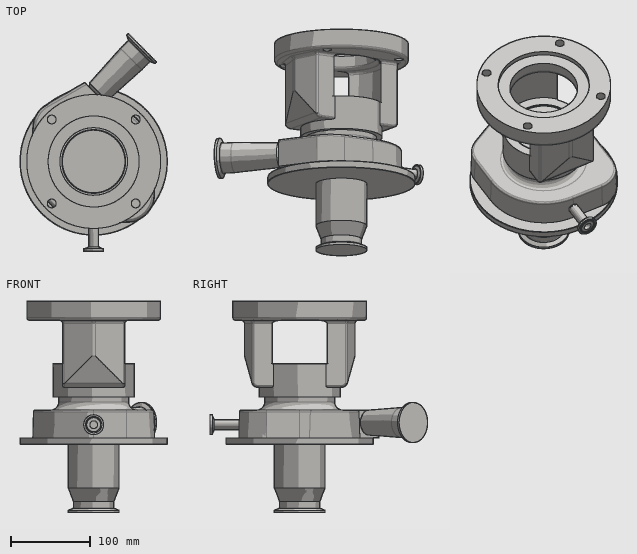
import math

import cadquery as cq

inlet_neck_top = 13.8
inlet_reducer_top = 31.1
plate_bottom = 85.3
plate_top = 93.9
casing_top = 128.7
neck_top = 144.9
leg_bottom = 157.0
collar_top = 186.8
leg_slope_top = 196.3
flange_bottom = 241.0
flange_top = 265.1

inlet_ferrule_radius = 32.0
pipe_rim_thickness = 3.0
pipe_ferrule_length = 6.2
ferrule_fillet = 0.8
inlet_neck_radius = 25.4
inlet_pipe_radius = 32.0
plate_radius = 92.5
plate_chamfer = 0.5

casing_radius = 76.4
casing_corner_radius = 35.0
casing_draft = 1.5
casing_edge_fillet = 2.5
casing_side_angle = 30.0

outlet_angle = 45.0
outlet_offset = 57.6
outlet_height = 113.0
outlet_face = 62.0
outlet_cylinder_start = 124.0
outlet_end = 144.0
outlet_base_radius = 15.8
outlet_pipe_radius = 19.05
outlet_ferrule_radius = 25.25
outlet_base_chamfer = 3.7

drain_height = 110.3
drain_end = 112.7
drain_pipe_radius = 6.35
drain_bore_radius = 4.85
drain_ferrule_radius = 12.5
drain_rim_thickness = 3.6
drain_cone_length = 2.4
drain_cone_radius = 11.0
drain_groove_inner_radius = 8.8
drain_groove_outer_radius = 10.2
drain_groove_depth = 0.8

neck_radius = 44.0
neck_fillet = 10.0
collar_radius = 51.0
collar_recess_radius = 39.2
collar_recess_chamfer = 0.8
collar_recess_depth = 2.0

leg_half_width = 39.0
leg_inner_radius = 52.0
leg_ridge_half_width = 2.2
leg_ridge_reach = 69.3
leg_slope_angle = 15.5
leg_edge_fillet = 2.5
leg_toe_fillet = 8.0
leg_root_fillet = 4.0

flange_radius = 84.0
flange_edge_fillet = 3.5
flange_bore_radius = 42.4
flange_bore_fillet = 4.5
flange_spigot_radius = 57.1
flange_spigot_depth = 6.0
bolt_spacing = 105.2
bolt_hole_diameter = 11.0


def quarter_fillet_inset(radius):
    """Distance from the middle of a quarter-round fillet to each of the two walls it joins."""
    return radius * (1 - math.sqrt(0.5))


def make_inlet():
    """Inlet pipe with a clamp ferrule, together with the back plate."""
    fillet_inset = quarter_fillet_inset(ferrule_fillet)
    pipe = (
        cq.Workplane("XZ")
        .moveTo(0, 0)
        .lineTo(inlet_ferrule_radius, 0)
        .lineTo(inlet_ferrule_radius, pipe_rim_thickness)
        .lineTo(inlet_neck_radius + ferrule_fillet, pipe_ferrule_length - ferrule_fillet)
        .threePointArc(
            (inlet_neck_radius + fillet_inset, pipe_ferrule_length - ferrule_fillet + fillet_inset),
            (inlet_neck_radius, pipe_ferrule_length),
        )
        .lineTo(inlet_neck_radius, inlet_neck_top)
        .lineTo(inlet_pipe_radius, inlet_reducer_top)
        .lineTo(inlet_pipe_radius, plate_bottom)
        .lineTo(0, plate_bottom)
        .close()
        .revolve(360, (0, 0, 0), (0, 1, 0))
    )
    plate = (
        cq.Workplane("XY", origin=(0, 0, plate_bottom))
        .circle(plate_radius)
        .extrude(plate_top - plate_bottom)
        .faces("<Z or >Z")
        .edges()
        .chamfer(plate_chamfer)
    )
    return pipe.union(plate)


def polar(radius, angle, center=(0, 0)):
    """Point at a radius and an angle in degrees around a center."""
    turn = math.radians(angle)
    return (center[0] + radius * math.cos(turn), center[1] + radius * math.sin(turn))


def extrude_casing(outline):
    """Casing block with drafted walls and a rounded top edge."""
    block = outline.extrude(casing_top - plate_top, taper=casing_draft)
    return block.faces(">Z").edges().fillet(casing_edge_fillet)


def make_casing():
    """Drafted volute: a circle with two squared corners, one running out to the outlet face."""
    corner = casing_radius - casing_corner_radius
    outlet_corner = (-corner, corner)
    plain_corner = (corner, -corner)

    blank_face = outlet_face + 2 * casing_edge_fillet
    side_start_angle = casing_side_angle + 90
    side_start = polar(casing_corner_radius, side_start_angle, outlet_corner)
    side_start_along = (side_start[0] + side_start[1]) * math.sqrt(0.5)
    side_length = (blank_face - side_start_along) / math.cos(math.radians(outlet_angle - casing_side_angle))
    tip = polar(side_length, casing_side_angle, side_start)

    face_end_angle = outlet_angle + math.degrees(math.acos(blank_face / casing_radius))
    face_end = polar(casing_radius, face_end_angle)

    outline = (
        cq.Workplane("XY", origin=(0, 0, plate_top))
        .moveTo(0, -casing_radius)
        .threePointArc(polar(casing_radius, 225), (-casing_radius, 0))
        .lineTo(-casing_radius, corner)
        .threePointArc(polar(casing_corner_radius, (180 + side_start_angle) / 2, outlet_corner), side_start)
        .lineTo(*tip)
        .lineTo(*face_end)
        .threePointArc(polar(casing_radius, face_end_angle / 2), (casing_radius, 0))
        .lineTo(casing_radius, -corner)
        .threePointArc(polar(casing_corner_radius, -45, plain_corner), (corner, -casing_radius))
        .close()
    )
    circle = cq.Workplane("XY", origin=(0, 0, plate_top)).circle(casing_radius)

    beyond_face = (
        cq.Workplane("XY", origin=(0, 0, plate_top))
        .rect(casing_radius, 4 * casing_radius)
        .extrude(casing_top - plate_top)
        .translate((outlet_face + casing_radius / 2, 0, 0))
        .rotate((0, 0, 0), (0, 0, 1), outlet_angle)
    )
    return extrude_casing(outline).cut(beyond_face).union(extrude_casing(circle))


def make_outlet():
    """Tapered discharge nozzle with a clamp ferrule."""
    ferrule_start = outlet_end - pipe_ferrule_length
    rim_start = outlet_end - pipe_rim_thickness
    fillet_inset = quarter_fillet_inset(ferrule_fillet)
    nozzle = (
        cq.Workplane("XY")
        .moveTo(0, 0)
        .lineTo(0, outlet_base_radius - outlet_base_chamfer)
        .lineTo(outlet_face, outlet_base_radius - outlet_base_chamfer)
        .lineTo(outlet_face + outlet_base_chamfer, outlet_base_radius)
        .lineTo(outlet_cylinder_start, outlet_pipe_radius)
        .lineTo(ferrule_start, outlet_pipe_radius)
        .threePointArc(
            (ferrule_start + ferrule_fillet - fillet_inset, outlet_pipe_radius + fillet_inset),
            (ferrule_start + ferrule_fillet, outlet_pipe_radius + ferrule_fillet),
        )
        .lineTo(rim_start, outlet_ferrule_radius)
        .lineTo(outlet_end, outlet_ferrule_radius)
        .lineTo(outlet_end, 0)
        .close()
        .revolve(360, (0, 0, 0), (1, 0, 0))
    )
    return nozzle.translate((0, outlet_offset, outlet_height)).rotate((0, 0, 0), (0, 0, 1), outlet_angle)


def make_drain():
    """Drain pipe with a grooved clamp ferrule, bored down to the casing wall."""
    rim_start = drain_end - drain_rim_thickness
    pipe_end = rim_start - drain_cone_length
    bore_end = casing_radius
    fillet_inset = quarter_fillet_inset(ferrule_fillet)
    port = (
        cq.Workplane("XY")
        .moveTo(0, 0)
        .lineTo(drain_pipe_radius, 0)
        .lineTo(drain_pipe_radius, -pipe_end)
        .threePointArc(
            (drain_pipe_radius + fillet_inset, -pipe_end - ferrule_fillet + fillet_inset),
            (drain_pipe_radius + ferrule_fillet, -pipe_end - ferrule_fillet),
        )
        .lineTo(drain_cone_radius, -rim_start)
        .lineTo(drain_ferrule_radius, -rim_start)
        .lineTo(drain_ferrule_radius, -drain_end)
        .lineTo(drain_groove_outer_radius, -drain_end)
        .lineTo(drain_groove_outer_radius, -drain_end + drain_groove_depth)
        .lineTo(drain_groove_inner_radius, -drain_end + drain_groove_depth)
        .lineTo(drain_groove_inner_radius, -drain_end)
        .lineTo(drain_bore_radius, -drain_end)
        .lineTo(drain_bore_radius, -bore_end)
        .lineTo(0, -bore_end)
        .close()
        .revolve(360, (0, 0, 0), (0, 1, 0))
    )
    return port.translate((0, 0, drain_height))


def make_collar():
    """Neck flaring into the casing, with the collar that carries the legs."""
    root_radius = neck_radius + neck_fillet
    fillet_inset = quarter_fillet_inset(neck_fillet)
    return (
        cq.Workplane("XZ")
        .moveTo(0, casing_top)
        .lineTo(root_radius, casing_top)
        .threePointArc(
            (neck_radius + fillet_inset, casing_top + fillet_inset),
            (neck_radius, casing_top + neck_fillet),
        )
        .lineTo(neck_radius, neck_top)
        .lineTo(collar_radius, neck_top)
        .lineTo(collar_radius, collar_top)
        .lineTo(collar_recess_radius + collar_recess_chamfer, collar_top)
        .lineTo(collar_recess_radius, collar_top - collar_recess_chamfer)
        .lineTo(collar_recess_radius, collar_top - collar_recess_depth)
        .lineTo(0, collar_top - collar_recess_depth)
        .close()
        .revolve(360, (0, 0, 0), (0, 1, 0))
    )


def make_leg():
    """Leg on the +Y side: a ridged block, sloped in toward its foot."""
    slope = math.tan(math.radians(leg_slope_angle))
    eave_reach = leg_ridge_reach - (leg_half_width - leg_ridge_half_width) * slope
    toe_reach = leg_ridge_reach - (leg_slope_top - leg_bottom) * slope
    block = (
        cq.Workplane("XY", origin=(0, 0, leg_bottom))
        .moveTo(-leg_half_width, 0)
        .lineTo(leg_half_width, 0)
        .lineTo(leg_half_width, eave_reach)
        .lineTo(leg_ridge_half_width, leg_ridge_reach)
        .lineTo(-leg_ridge_half_width, leg_ridge_reach)
        .lineTo(-leg_half_width, eave_reach)
        .close()
        .extrude(flange_bottom - leg_bottom)
    )
    side_profile = (
        cq.Workplane("YZ")
        .moveTo(0, leg_bottom)
        .lineTo(toe_reach, leg_bottom)
        .lineTo(leg_ridge_reach, leg_slope_top)
        .lineTo(leg_ridge_reach, flange_bottom)
        .lineTo(0, flange_bottom)
        .close()
        .extrude(leg_half_width, both=True)
    )
    leg = block.intersect(side_profile)
    leg = leg.faces("<Z").edges(">Y").fillet(leg_toe_fillet)
    leg = leg.faces("<X or >X").edges("not(<Y or >Z)").fillet(leg_edge_fillet)

    opening = (
        cq.Workplane("XY", origin=(0, 0, collar_top))
        .circle(leg_inner_radius)
        .extrude(flange_bottom - collar_top)
    )
    recess_clearance = (
        cq.Workplane("XY", origin=(0, 0, leg_bottom))
        .circle(collar_recess_radius + collar_recess_chamfer)
        .extrude(collar_top - leg_bottom)
    )
    return leg.cut(opening).cut(recess_clearance)


def make_head():
    """Motor flange with both legs filleted into its underside."""
    flange = (
        cq.Workplane("XY", origin=(0, 0, flange_bottom))
        .circle(flange_radius)
        .extrude(flange_top - flange_bottom)
        .faces("<Z")
        .edges()
        .fillet(flange_edge_fillet)
    )
    leg = make_leg()
    head = flange.union(leg).union(leg.mirror("XZ"))
    margin = leg_root_fillet / 2
    reach_x = leg_half_width + margin
    reach_y = leg_ridge_reach + margin
    root_zone = cq.selectors.BoxSelector(
        (-reach_x, -reach_y, flange_bottom - margin),
        (reach_x, reach_y, flange_bottom + margin),
    )
    head = head.edges(root_zone).fillet(leg_root_fillet)

    bore_radius_at_bottom = flange_bore_radius + flange_bore_fillet
    bore_fillet_top = flange_bottom + flange_bore_fillet
    fillet_inset = quarter_fillet_inset(flange_bore_fillet)
    bore = (
        cq.Workplane("XZ")
        .moveTo(0, flange_bottom)
        .lineTo(bore_radius_at_bottom, flange_bottom)
        .threePointArc(
            (flange_bore_radius + fillet_inset, flange_bottom + fillet_inset),
            (flange_bore_radius, bore_fillet_top),
        )
        .lineTo(flange_bore_radius, flange_top)
        .lineTo(0, flange_top)
        .close()
        .revolve(360, (0, 0, 0), (0, 1, 0))
    )
    spigot = cq.Workplane("XY", origin=(0, 0, flange_top)).circle(flange_spigot_radius)
    bolt_holes = (
        cq.Workplane("XY", origin=(0, 0, flange_bottom))
        .rect(bolt_spacing, bolt_spacing, forConstruction=True)
        .vertices()
        .circle(bolt_hole_diameter / 2)
    )
    flange_thickness = flange_top - flange_bottom
    return (
        head.cut(bore)
        .cut(spigot.extrude(-flange_spigot_depth))
        .cut(bolt_holes.extrude(flange_thickness))
    )


result = (
    make_inlet()
    .union(make_casing())
    .union(make_outlet())
    .union(make_drain())
    .union(make_collar())
    .union(make_head())
)